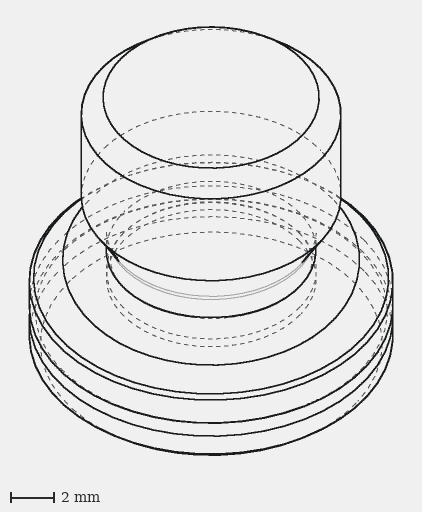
import cadquery as cq
import math

base_radius = 8.4
base_height = 4.0
bottom_chamfer = 0.5
top_chamfer = 0.2
groove_bottom = 1.6
groove_top = 2.39
groove_depth = 0.27

neck_radius = 9.7 / 2
neck_fillet_radius = 0.5
flare_angle = math.radians(30)
head_radius = 12.0 / 2
head_bottom = 9.0
total_height = 15.0
head_chamfer = 1.0

ring_section_radius = 1.1
ring_outer_radius = 6.85
ring_center_radius = ring_outer_radius - ring_section_radius
ring_center_height = base_height + ring_section_radius


def make_ring():
    """O-ring of circular section around the Z axis."""
    return (
        cq.Workplane("XZ")
        .center(ring_center_radius, ring_center_height)
        .circle(ring_section_radius)
        .revolve(360, (-ring_center_radius, 0), (-ring_center_radius, 1))
    )


def make_plug():
    """Base, neck and head turned from one half-profile, with the ring's recess."""
    corner_height = head_bottom - (head_radius - neck_radius) / math.tan(flare_angle)
    fillet_start_height = corner_height - neck_fillet_radius * math.tan(flare_angle / 2)

    def fillet_point(turn):
        """Point on the neck fillet, at an angle turned from the neck's tangent point."""
        return (
            neck_radius + neck_fillet_radius * (1 - math.cos(turn)),
            fillet_start_height + neck_fillet_radius * math.sin(turn),
        )

    groove_middle = (base_radius - groove_depth, (groove_bottom + groove_top) / 2)
    profile = (
        cq.Workplane("XZ")
        .lineTo(base_radius - bottom_chamfer, 0)
        .lineTo(base_radius, bottom_chamfer)
        .lineTo(base_radius, groove_bottom)
        .threePointArc(groove_middle, (base_radius, groove_top))
        .lineTo(base_radius, base_height - top_chamfer)
        .lineTo(base_radius - top_chamfer, base_height)
        .lineTo(neck_radius, base_height)
        .lineTo(*fillet_point(0))
        .threePointArc(fillet_point(flare_angle / 2), fillet_point(flare_angle))
        .lineTo(head_radius, head_bottom)
        .lineTo(head_radius, total_height - head_chamfer)
        .lineTo(head_radius - head_chamfer, total_height)
        .lineTo(0, total_height)
        .close()
    )
    return profile.revolve(360, (0, 0), (0, 1)).cut(make_ring())


plug = make_plug()
ring = make_ring()
result = cq.Compound.makeCompound([plug.val(), ring.val()])